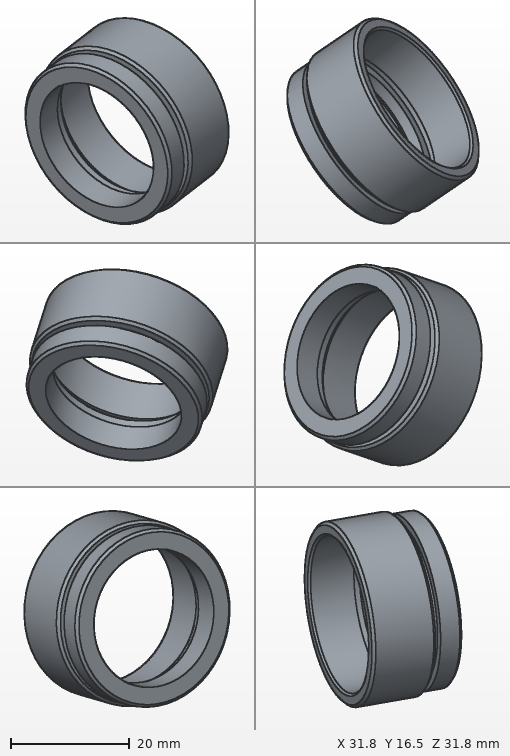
import cadquery as cq

length = 16.5
chamfer = 0.5

body_radius = 15.88
collar_radius = 15.25
collar_length = 4.0
outer_groove_radius = 13.8
outer_groove_width = 1.0
body_start = collar_length + outer_groove_width

front_bore_radius = 11.78
front_bore_depth = 5.0
middle_bore_radius = 12.5
middle_bore_depth = 7.0
rear_bore_radius = 13.5
relief_depth = 0.8
relief_width = 1.3
relief_radius = rear_bore_radius + relief_depth
rear_bore_start = middle_bore_depth + relief_width
mouth_chamfer = 0.38


outside = [
    (collar_radius - chamfer, 0),
    (collar_radius, chamfer),
    (collar_radius, collar_length),
    (outer_groove_radius, collar_length),
    (outer_groove_radius, body_start),
    (body_radius - chamfer, body_start),
    (body_radius, body_start + chamfer),
    (body_radius, length - chamfer),
    (body_radius - chamfer, length),
]
inside = [
    (rear_bore_radius + mouth_chamfer, length),
    (rear_bore_radius, length - mouth_chamfer),
    (rear_bore_radius, rear_bore_start),
    (relief_radius, rear_bore_start),
    (relief_radius, middle_bore_depth),
    (middle_bore_radius, middle_bore_depth),
    (middle_bore_radius, front_bore_depth),
    (front_bore_radius, front_bore_depth),
    (front_bore_radius, 0),
]

section = [(depth - length / 2, radius) for radius, depth in outside + inside]
result = cq.Workplane("YZ").polyline(section).close().revolve(360, (0, 0), (1, 0))